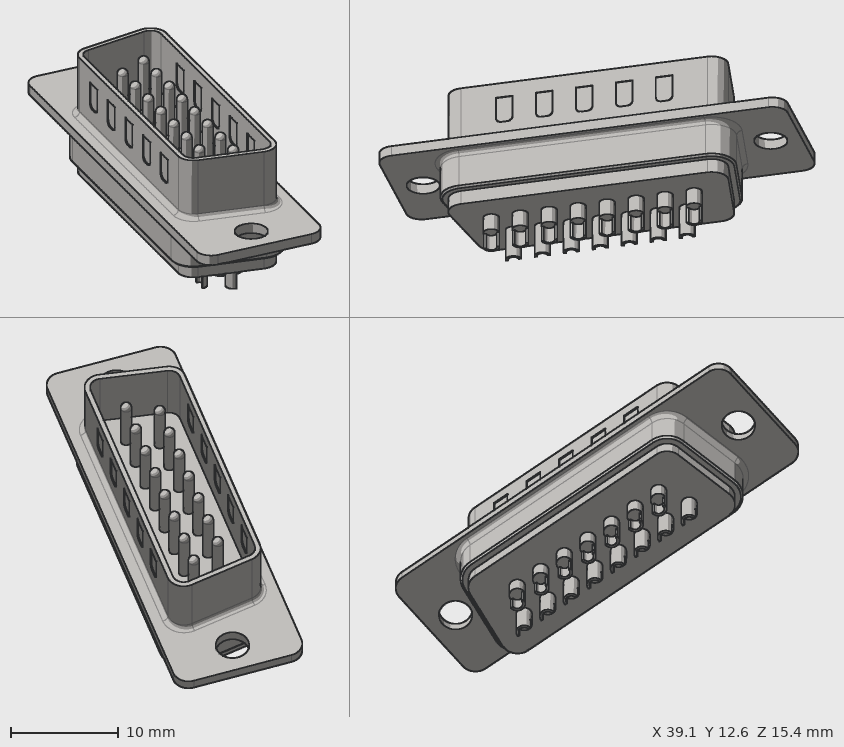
import cadquery as cq
import math

PLATE_LENGTH = 39.12
PLATE_WIDTH = 12.55
PLATE_THICKNESS = 1.0
PLATE_CORNER_RADIUS = 1.5
MOUNT_HOLE_DIAMETER = 3.1
MOUNT_HOLE_SPACING = 33.33

D_WIDE_CENTRE_X = 11.8
D_CENTRE_Y = 3.13
D_SIDE_ANGLE = 10.0
D_NARROW_CENTRE_X = D_WIDE_CENTRE_X - 2 * D_CENTRE_Y * math.tan(math.radians(D_SIDE_ANGLE))
WALL_THICKNESS = 0.5
SHELL_CORNER_RADIUS = 1.55
CAVITY_CORNER_RADIUS = SHELL_CORNER_RADIUS - WALL_THICKNESS
BODY_CORNER_RADIUS = 2.3
SHELL_HALF_WIDTH = D_CENTRE_Y + SHELL_CORNER_RADIUS
CAVITY_HALF_WIDTH = SHELL_HALF_WIDTH - WALL_THICKNESS

SHELL_HEIGHT = 6.1
CAVITY_FLOOR_Z = 0.0
BODY_HEIGHT = 3.8
STEP_HEIGHT = 1.35
CUP_LENGTH = 3.13
PLATE_BOTTOM_Z = -PLATE_THICKNESS
BODY_BOTTOM_Z = PLATE_BOTTOM_Z - BODY_HEIGHT
STEP_BOTTOM_Z = BODY_BOTTOM_Z - STEP_HEIGHT

FLARE_RADIUS = 0.5
BODY_CHAMFER = 0.2

ROOT_BOX_MARGIN = 0.2
ROOT_BOX_HALF_X = PLATE_LENGTH / 2 - ROOT_BOX_MARGIN
ROOT_BOX_HALF_Y = PLATE_WIDTH / 2 - ROOT_BOX_MARGIN

RECESS_COUNT = 5
RECESS_PITCH = 3.85
RECESS_WIDTH = 1.6
RECESS_HEIGHT = 2.62
RECESS_TOP_Z = 4.6
RECESS_CORNER_RADIUS = 0.5
RECESS_DEPTH = 0.1

PIN_PITCH = 2.78
ROW_CENTRE_X = 0.05
ROW_OFFSET = 1.4
WIDE_ROW_COUNT = 8
NARROW_ROW_COUNT = WIDE_ROW_COUNT - 1
PIN_RADIUS = 0.5
PIN_TIP_Z = 5.35
CUP_RADIUS = 0.75
CUP_BORE_RADIUS = 0.5
CUP_OPENING_LENGTH = 1.53


def d_prism(corner_radius, bottom_z, height):
    """Prism with the rounded D outline: the arc centres offset by a radius."""
    centres = [
        (-D_WIDE_CENTRE_X, D_CENTRE_Y),
        (D_WIDE_CENTRE_X, D_CENTRE_Y),
        (D_NARROW_CENTRE_X, -D_CENTRE_Y),
        (-D_NARROW_CENTRE_X, -D_CENTRE_Y),
    ]
    outline = cq.Workplane("XY", origin=(0, 0, bottom_z)).polyline(centres).close()
    return outline.offset2D(corner_radius, "arc").extrude(height)


def cylinder(x, y, bottom_z, height, radius):
    return cq.Workplane("XY", origin=(x, y, bottom_z)).circle(radius).extrude(height)


def centred_positions(count, pitch):
    """X positions of a row centred on X = 0."""
    return [(i - (count - 1) / 2) * pitch for i in range(count)]


def make_housing():
    """Plate, shell and lower body as one solid, with flares at both plate faces."""
    plate = cq.Workplane("XY", origin=(0, 0, PLATE_BOTTOM_Z)).rect(PLATE_LENGTH, PLATE_WIDTH)
    plate = plate.extrude(PLATE_THICKNESS).edges("|Z").fillet(PLATE_CORNER_RADIUS)
    shell = d_prism(SHELL_CORNER_RADIUS, 0, SHELL_HEIGHT)
    body = d_prism(BODY_CORNER_RADIUS, BODY_BOTTOM_Z, BODY_HEIGHT)
    body = body.faces("<Z").edges().chamfer(BODY_CHAMFER)
    step = d_prism(SHELL_CORNER_RADIUS, STEP_BOTTOM_Z, STEP_HEIGHT)

    housing = plate.union(shell).union(body)
    for root_z in (0, PLATE_BOTTOM_Z):
        root_box = cq.selectors.BoxSelector(
            (-ROOT_BOX_HALF_X, -ROOT_BOX_HALF_Y, root_z - ROOT_BOX_MARGIN),
            (ROOT_BOX_HALF_X, ROOT_BOX_HALF_Y, root_z + ROOT_BOX_MARGIN),
            boundingbox=True,
        )
        housing = housing.edges(root_box).fillet(FLARE_RADIUS)

    housing = housing.union(step)
    cavity = d_prism(CAVITY_CORNER_RADIUS, CAVITY_FLOOR_Z, SHELL_HEIGHT - CAVITY_FLOOR_Z)
    holes = (
        cq.Workplane("XY", origin=(0, 0, PLATE_BOTTOM_Z))
        .pushPoints([(-MOUNT_HOLE_SPACING / 2, 0), (MOUNT_HOLE_SPACING / 2, 0)])
        .circle(MOUNT_HOLE_DIAMETER / 2)
        .extrude(PLATE_THICKNESS)
    )
    return housing.cut(cavity).cut(holes)


def recess_row(face_y, inward):
    """Row of grip recesses; `inward` is the Y direction from the wall face into the metal."""
    row = cq.Workplane("XY")
    for x in centred_positions(RECESS_COUNT, RECESS_PITCH):
        centre = (x, face_y + inward * RECESS_DEPTH / 2, RECESS_TOP_Z - RECESS_HEIGHT / 2)
        recess = cq.Workplane("XY").box(RECESS_WIDTH, RECESS_DEPTH, RECESS_HEIGHT)
        recess = recess.edges("|Y and <Z").fillet(RECESS_CORNER_RADIUS)
        row = row.add(recess.translate(centre))
    return row.combine()


def make_pin(x, row_side):
    """Pin standing on the cavity floor, with a hemispherical tip."""
    y = row_side * ROW_OFFSET
    tip_centre_z = PIN_TIP_Z - PIN_RADIUS
    shank = cylinder(x, y, CAVITY_FLOOR_Z, tip_centre_z - CAVITY_FLOOR_Z, PIN_RADIUS)
    tip = cq.Workplane("XY").sphere(PIN_RADIUS).translate((x, y, tip_centre_z))
    return shank.union(tip)


def make_cup(x, row_side):
    """Solder cup, bored and cut open on its outer side over its lower end."""
    y = row_side * ROW_OFFSET
    end_z = STEP_BOTTOM_Z - CUP_LENGTH
    cup = cylinder(x, y, end_z, CUP_LENGTH, CUP_RADIUS)
    bore = cylinder(x, y, end_z, CUP_OPENING_LENGTH, CUP_BORE_RADIUS)
    opening = cq.Workplane("XY").box(2 * CUP_RADIUS, CUP_RADIUS, CUP_OPENING_LENGTH)
    opening = opening.translate((x, y + row_side * CUP_RADIUS / 2, end_z + CUP_OPENING_LENGTH / 2))
    return cup.cut(bore).cut(opening)


result = make_housing()
for side in (1, -1):
    result = result.cut(recess_row(side * SHELL_HALF_WIDTH, -side))
    result = result.cut(recess_row(side * CAVITY_HALF_WIDTH, side))

for side, count in ((1, WIDE_ROW_COUNT), (-1, NARROW_ROW_COUNT)):
    for offset_x in centred_positions(count, PIN_PITCH):
        contact_x = ROW_CENTRE_X + offset_x
        result = result.union(make_pin(contact_x, side))
        result = result.union(make_cup(contact_x, side))